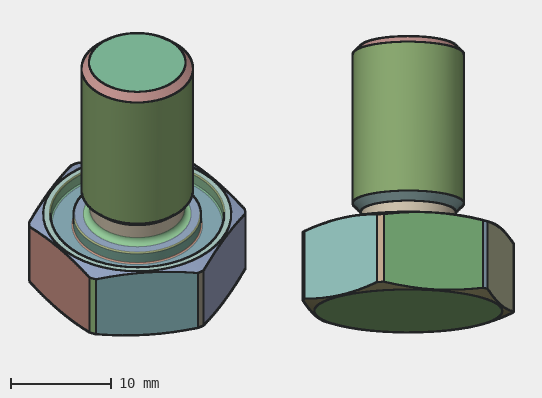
import cadquery as cq
import math

total_height = 26.97
head_height = 7.95
across_flats = 19.05
across_corners = 21.6
bearing_face_diameter = 18.72
head_chamfer_angle = 20.0

shank_diameter = 11.1
neck_diameter = 9.45
shank_start_above_head = 3.05
neck_fillet = 0.65
tip_chamfer = 0.75

groove_outer_diameter = 17.23
groove_inner_diameter = 12.73
groove_depth = 1.35
groove_edge_radius = 0.13

head_radius = across_corners / 2
bearing_face_radius = bearing_face_diameter / 2
head_chamfer_height = (head_radius - bearing_face_radius) * math.tan(math.radians(head_chamfer_angle))
shank_radius = shank_diameter / 2
neck_radius = neck_diameter / 2
neck_step = shank_radius - neck_radius
shank_length = total_height - head_height


def revolve_profile(profile):
    """Revolve a radius-height profile about the bolt axis."""
    return profile.close().revolve(360, (0, 0, 0), (0, 1, 0))


def make_head():
    """Hexagon whose corners are turned round and chamfered at both ends."""
    hexagon = (
        cq.Workplane("XY")
        .polygon(6, across_flats / math.cos(math.pi / 6))
        .extrude(head_height)
    )
    turned_blank = revolve_profile(
        cq.Workplane("XZ")
        .lineTo(bearing_face_radius, 0)
        .lineTo(head_radius, head_chamfer_height)
        .lineTo(head_radius, head_height - head_chamfer_height)
        .lineTo(bearing_face_radius, head_height)
        .lineTo(0, head_height)
    )
    return hexagon.intersect(turned_blank)


def cut_bearing_groove(head):
    """Annular groove with rounded rims and rounded floor corners."""
    floor_height = head_height - groove_depth
    groove = (
        cq.Workplane("XY", origin=(0, 0, floor_height))
        .circle(groove_outer_diameter / 2)
        .circle(groove_inner_diameter / 2)
        .extrude(groove_depth)
        .faces("<Z").edges().fillet(groove_edge_radius)
    )
    grooved = head.cut(groove)
    groove_reach = groove_outer_diameter / 2 + groove_edge_radius
    rim_zone = cq.selectors.BoxSelector(
        (-groove_reach, -groove_reach, head_height - groove_edge_radius / 2),
        (groove_reach, groove_reach, head_height + groove_edge_radius / 2),
        boundingbox=True,
    )
    return grooved.edges(rim_zone).fillet(groove_edge_radius)


def make_shank():
    """Shank with a chamfered tip and a relief neck flaring into the head."""
    return revolve_profile(
        cq.Workplane("XZ", origin=(0, 0, head_height))
        .lineTo(neck_radius + neck_fillet, 0)
        .radiusArc((neck_radius, neck_fillet), neck_fillet)
        .lineTo(neck_radius, shank_start_above_head - neck_step)
        .lineTo(shank_radius, shank_start_above_head)
        .lineTo(shank_radius, shank_length - tip_chamfer)
        .lineTo(shank_radius - tip_chamfer, shank_length)
        .lineTo(0, shank_length)
    )


result = cut_bearing_groove(make_head()).union(make_shank())